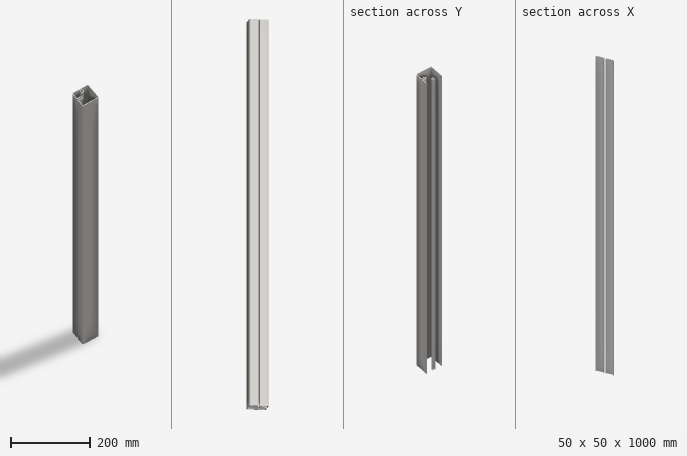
import cadquery as cq

side = 50.0
length = 1000.0
wall = 1.8
outer_corner_radius = 4.0
inner_corner_radius = 1.2

slot_width = 4.1
bore_radius = 2.7
bore_depth = 10.3

housing_radius = bore_radius + wall
neck_width = slot_width + 2 * wall
bore_y = bore_depth - side / 2

track_turns = (0, -90)


def square_bar(width, corner_radius):
    """Full-length square bar with rounded long edges."""
    bar = cq.Workplane("XY").rect(width, width).extrude(length)
    return bar.edges("|Z").fillet(corner_radius)


def keyhole_bar(radius, neck):
    """Full-length bar of keyhole section: a circle at the bore axis and a neck from it to the -Y face."""
    circle = cq.Workplane("XY").center(0, bore_y).circle(radius).extrude(length)
    stem_middle_y = bore_y - bore_depth / 2
    stem = cq.Workplane("XY").center(0, stem_middle_y).rect(neck, bore_depth).extrude(length)
    return circle.union(stem)


def hollow_tube():
    outside = square_bar(side, outer_corner_radius)
    inside = square_bar(side - 2 * wall, inner_corner_radius)
    return outside.cut(inside)


def add_tracks(tube):
    housing = keyhole_bar(housing_radius, neck_width)
    channel = keyhole_bar(bore_radius, slot_width)
    for turn in track_turns:
        tube = tube.union(housing.rotate((0, 0, 0), (0, 0, 1), turn))
        tube = tube.cut(channel.rotate((0, 0, 0), (0, 0, 1), turn))
    return tube


result = add_tracks(hollow_tube())